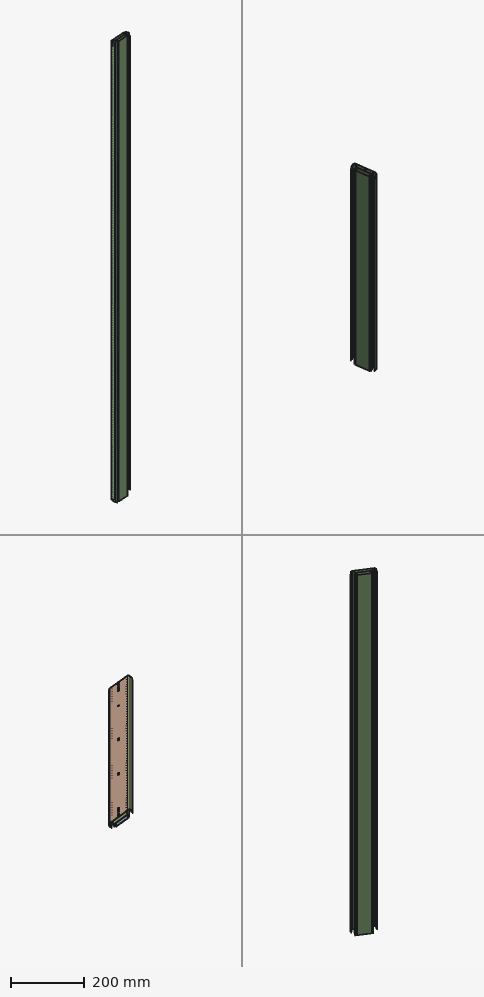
import cadquery as cq
import math

length = 1422.0
depth = 20.0
width = 77.0
sheet = 2.0

top_z = length / 2
bottom_z = -length / 2
back_x = -depth / 2
front_x = depth / 2

race_radius = 8.8
race_center_x = 0.0
race_center_y = width / 2 - race_radius
race_half_angle = 42.0
lip_length = 2.1
web_half_width = 31.0
flange_top_z = top_z - 10.0
flange_bottom_z = bottom_z + 14.0
shoulder_z = bottom_z + 10.0
tongue_half_width = 25.0
tongue_bottom_z = bottom_z + 3.0

cage_thickness = 2.1
cage_half_angle = 38.0

middle_half_width = tongue_half_width
middle_back_x = -7.0
middle_front_x = 7.0
middle_web_back_x = -1.0
inner_half_width = 21.0
inner_back_x = 2.1
inner_bottom_z = tongue_bottom_z

opening_width = 5.0
round_hole_heights = [
    698.0, 678.0, 651.0, 462.0, 115.0, 101.0, -249.0, -262.0, -639.0, -651.0, -678.0,
]
slots = [(627.0, 20.0), (-622.0, 15.0), (-698.0, 15.0)]
pilot_hole_height = 661.0
pilot_hole_diameter = 3.0


def race_point(radius, angle):
    """Point on the +Y race, with the angle measured from +Y towards +X."""
    turn = math.radians(angle)
    return (race_center_x + radius * math.sin(turn), race_center_y + radius * math.cos(turn))


def extrude_between(profile, low_z, high_z):
    return profile.extrude(high_z - low_z).translate((0, 0, low_z))


def box_between(low, high):
    size = [b - a for a, b in zip(low, high)]
    return cq.Workplane("XY").box(*size, centered=False).translate(low)


def outer_rail_half():
    """+Y half of the outer rail, over its full length."""
    inner_radius = race_radius - sheet
    outer_start = race_point(race_radius, -race_half_angle)
    outer_end = race_point(race_radius, race_half_angle)
    inner_start = race_point(inner_radius, -race_half_angle)
    inner_end = race_point(inner_radius, race_half_angle)
    profile = (
        cq.Workplane("XY")
        .moveTo(back_x, 0)
        .lineTo(back_x, web_half_width)
        .lineTo(*outer_start)
        .threePointArc(race_point(race_radius, 0), outer_end)
        .lineTo(outer_end[0] + lip_length, outer_end[1])
        .lineTo(outer_end[0] + lip_length, inner_end[1])
        .lineTo(*inner_end)
        .threePointArc(race_point(inner_radius, 0), inner_start)
        .lineTo(back_x + sheet, web_half_width - sheet)
        .lineTo(back_x + sheet, 0)
        .close()
    )
    return extrude_between(profile, bottom_z, top_z)


def cut_web_openings(rail):
    web_plane = cq.Workplane("YZ", origin=(back_x, 0, 0))
    hole_points = [(0, z) for z in round_hole_heights]
    rail = rail.cut(web_plane.pushPoints(hole_points).circle(opening_width / 2).extrude(sheet))
    pilot = web_plane.center(0, pilot_hole_height).circle(pilot_hole_diameter / 2)
    rail = rail.cut(pilot.extrude(sheet))
    for z, slot_length in slots:
        slot = web_plane.center(0, z).slot2D(slot_length, opening_width, angle=90)
        rail = rail.cut(slot.extrude(sheet))
    return rail


def outer_rail():
    half = outer_rail_half()
    rail = half.union(half.mirror("XZ"))
    web_front_x = back_x + sheet
    race_start_x = race_point(race_radius, -race_half_angle)[0]

    rail = rail.cut(box_between((race_start_x, -width, flange_top_z), (front_x, width, top_z)))
    rail = rail.cut(box_between((web_front_x, -width, bottom_z), (front_x, width, flange_bottom_z)))
    for side in (-1, 1):
        corner_y = sorted((side * tongue_half_width, side * width))
        rail = rail.cut(
            box_between((back_x, corner_y[0], bottom_z), (front_x, corner_y[1], shoulder_z))
        )
    rail = rail.cut(box_between((back_x, -width, bottom_z), (front_x, width, tongue_bottom_z)))
    return cut_web_openings(rail)


def ball_cage(side):
    """Curved strip inside the race on the given Y side (+1 or -1)."""
    outer_radius = race_radius - sheet
    inner_radius = outer_radius - cage_thickness
    profile = (
        cq.Workplane("XY")
        .moveTo(*race_point(outer_radius, -cage_half_angle))
        .threePointArc(race_point(outer_radius, 0), race_point(outer_radius, cage_half_angle))
        .lineTo(*race_point(inner_radius, cage_half_angle))
        .threePointArc(race_point(inner_radius, 0), race_point(inner_radius, -cage_half_angle))
        .close()
    )
    cage = extrude_between(profile, flange_bottom_z, top_z)
    return cage if side > 0 else cage.mirror("XZ")


def middle_rail():
    """H section: two side walls joined by a web near the middle of the depth."""
    body = box_between(
        (middle_back_x, -middle_half_width, bottom_z),
        (middle_front_x, middle_half_width, top_z),
    )
    opening_half_width = middle_half_width - sheet
    openings = [(middle_back_x, middle_web_back_x), (middle_web_back_x + sheet, middle_front_x)]
    for low_x, high_x in openings:
        body = body.cut(
            box_between(
                (low_x, -opening_half_width, bottom_z),
                (high_x, opening_half_width, top_z),
            )
        )
    return body


def inner_rail():
    """Channel with its web in front and its opening towards -X, nested in the middle rail."""
    body = box_between(
        (inner_back_x, -inner_half_width, inner_bottom_z),
        (front_x, inner_half_width, top_z),
    )
    opening_half_width = inner_half_width - sheet
    return body.cut(
        box_between(
            (inner_back_x, -opening_half_width, inner_bottom_z),
            (front_x - sheet, opening_half_width, top_z),
        )
    )


cages = [ball_cage(side).val() for side in (-1, 1)]

result = cq.Compound.makeCompound(
    [outer_rail().val(), middle_rail().val(), inner_rail().val(), *cages]
)